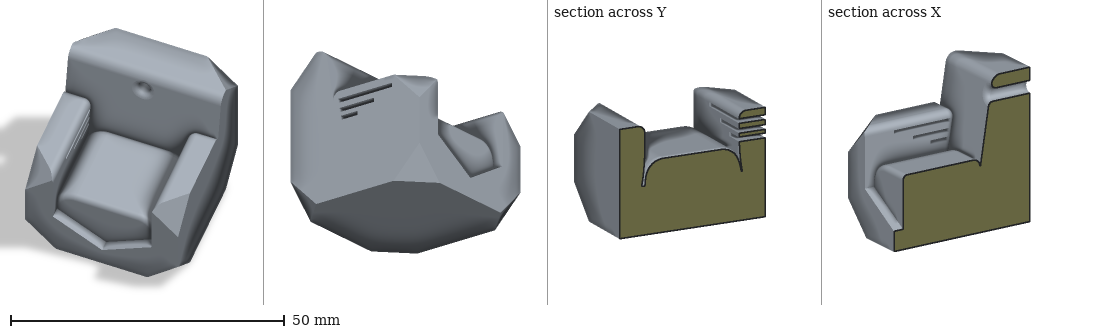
import cadquery as cq
import math

SIZE = 30.0
CORNER_CUT = 6.0

BACKREST_LEAN = 9.0
BACKREST_FOOT_Y = 16.95
BACKREST_TOP_RADIUS = 2.0

ARM_HEIGHT = 21.0
LEFT_ARM_INNER_X = 5.45
RIGHT_ARM_INNER_X = 24.75
ARM_RADIUS = 1.5

BASE_HEIGHT = 9.45
NOTCH_X = (LEFT_ARM_INNER_X + RIGHT_ARM_INNER_X) / 2
NOTCH_Z = 3.95
NOTCH_DEPTH = 2.0

CUSHION_TOP_Z = 14.4
CUSHION_LEFT_X = 6.3
CUSHION_RIGHT_X = 24.05
CUSHION_LEFT_FLARE = 24.0
CUSHION_RIGHT_FLARE = 17.0
CUSHION_LEFT_RADIUS = 4.32
CUSHION_RIGHT_RADIUS = 4.0
CUSHION_FRONT_RADIUS = 1.0
CUSHION_BACK_RADIUS = 1.5

HOLE_X = 14.88
HOLE_Z = 26.15
HOLE_DIAMETER = 2.4
HOLE_RIM_RADIUS = 1.02

SLOT_HEIGHT = 0.8
SLOT_SETBACK = 1.1
SLOTS = [(6.42, 18.7), (10.62, 16.8), (14.4, 15.18)]


def backrest_y(z):
    """y of the leaning backrest face at height z."""
    return BACKREST_FOOT_Y + z * math.tan(math.radians(BACKREST_LEAN))


def extrude_along_x(points, start_x, end_x):
    """Prism with a (y, z) outline, reaching from start_x to end_x."""
    sketch = cq.Workplane("YZ").workplane(offset=start_x)
    return sketch.polyline(points).close().extrude(end_x - start_x)


def extrude_along_y(points, start_y, end_y):
    """Prism with an (x, z) outline, reaching from start_y to end_y."""
    sketch = cq.Workplane("XZ", origin=(0, start_y, 0))
    return sketch.polyline(points).close().extrude(start_y - end_y)


def leaning_block(start_x, end_x, bottom_z, top_z, front_y):
    """Block from front_y back to the leaning backrest face."""
    outline = [
        (front_y, bottom_z),
        (backrest_y(bottom_z), bottom_z),
        (backrest_y(top_z), top_z),
        (front_y, top_z),
    ]
    return extrude_along_x(outline, start_x, end_x)


def make_backrest():
    outline = [
        (backrest_y(0), 0),
        (SIZE, 0),
        (SIZE, SIZE),
        (backrest_y(SIZE), SIZE),
    ]
    backrest = extrude_along_x(outline, 0, SIZE)
    backrest = backrest.faces(">Z").edges("<Y").fillet(BACKREST_TOP_RADIUS)
    hole = cq.Workplane("XZ", origin=(HOLE_X, 0, HOLE_Z)).circle(HOLE_DIAMETER / 2).extrude(-SIZE)
    backrest = backrest.cut(hole)
    return backrest.edges("%ELLIPSE").fillet(HOLE_RIM_RADIUS)


def make_base():
    base = leaning_block(0, SIZE, 0, BASE_HEIGHT, 0)
    notch = [
        (LEFT_ARM_INNER_X, BASE_HEIGHT),
        (NOTCH_X, NOTCH_Z),
        (RIGHT_ARM_INNER_X, BASE_HEIGHT),
    ]
    return base.cut(extrude_along_y(notch, 0, NOTCH_DEPTH))


def make_arm(start_x, end_x, inner_side):
    """Arm rounded along its inner and rear edges; inner_side is '>X' or '<X'."""
    arm = leaning_block(start_x, end_x, 0, ARM_HEIGHT, 0)
    inner_top = arm.faces(inner_side).edges(">Z")
    rear_top = arm.faces(">Z").edges(">Y")
    inner_rear = arm.faces(inner_side).edges(">Y")
    return inner_top.add(rear_top).add(inner_rear).fillet(ARM_RADIUS)


def make_cushion():
    height = CUSHION_TOP_Z - BASE_HEIGHT
    left_flare = height * math.tan(math.radians(CUSHION_LEFT_FLARE))
    right_flare = height * math.tan(math.radians(CUSHION_RIGHT_FLARE))
    outline = [
        (CUSHION_LEFT_X - left_flare, BASE_HEIGHT),
        (CUSHION_LEFT_X, CUSHION_TOP_Z),
        (CUSHION_RIGHT_X, CUSHION_TOP_Z),
        (CUSHION_RIGHT_X + right_flare, BASE_HEIGHT),
    ]
    cushion = extrude_along_y(outline, NOTCH_DEPTH, SIZE)
    cushion = cushion.faces(">Z").edges("<X").fillet(CUSHION_LEFT_RADIUS)
    cushion = cushion.faces(">Z").edges(">X").fillet(CUSHION_RIGHT_RADIUS)
    room_behind = extrude_along_x(
        [
            (backrest_y(0), 0),
            (backrest_y(SIZE), SIZE),
            (2 * SIZE, SIZE),
            (2 * SIZE, 0),
        ],
        0,
        SIZE,
    )
    cushion = cushion.cut(room_behind)
    cushion = cushion.faces("<Y").edges("not <Z").fillet(CUSHION_FRONT_RADIUS)
    return cushion.faces(">Y").edges("not <Z").fillet(CUSHION_BACK_RADIUS)


def slot_cutter(front_y, bottom_z):
    """Cutter for one slot whose rear end runs parallel to the backrest face."""
    top_z = bottom_z + SLOT_HEIGHT
    outline = [
        (front_y, bottom_z),
        (backrest_y(bottom_z) - SLOT_SETBACK, bottom_z),
        (backrest_y(top_z) - SLOT_SETBACK, top_z),
        (front_y, top_z),
    ]
    return extrude_along_x(outline, 0, LEFT_ARM_INNER_X)


def corner_cutter(x, y, z):
    """Tetrahedron that cuts the corner at (x, y, z) off the body."""
    leg_x = CORNER_CUT if x == 0 else -CORNER_CUT
    leg_y = CORNER_CUT if y == 0 else -CORNER_CUT
    leg_z = CORNER_CUT if z == 0 else -CORNER_CUT
    corner = (x, y, z)
    ends = [(x + leg_x, y, z), (x, y + leg_y, z), (x, y, z + leg_z)]
    triangles = [
        ends,
        [corner, ends[0], ends[1]],
        [corner, ends[1], ends[2]],
        [corner, ends[2], ends[0]],
    ]
    faces = []
    for triangle in triangles:
        outline = cq.Wire.makePolygon([cq.Vector(*point) for point in triangle], close=True)
        faces.append(cq.Face.makeFromWires(outline))
    return cq.Workplane(cq.Solid.makeSolid(cq.Shell.makeShell(faces)))


left_arm = make_arm(0, LEFT_ARM_INNER_X, ">X")
for front_y, bottom_z in SLOTS:
    left_arm = left_arm.cut(slot_cutter(front_y, bottom_z))
right_arm = make_arm(RIGHT_ARM_INNER_X, SIZE, "<X")

result = make_base().union(make_backrest()).union(left_arm).union(right_arm).union(make_cushion())
for side_x in (0, SIZE):
    result = result.cut(corner_cutter(side_x, 0, 0))
    result = result.cut(corner_cutter(side_x, SIZE, 0))
    result = result.cut(corner_cutter(side_x, 0, ARM_HEIGHT))
    result = result.cut(corner_cutter(side_x, SIZE, SIZE))